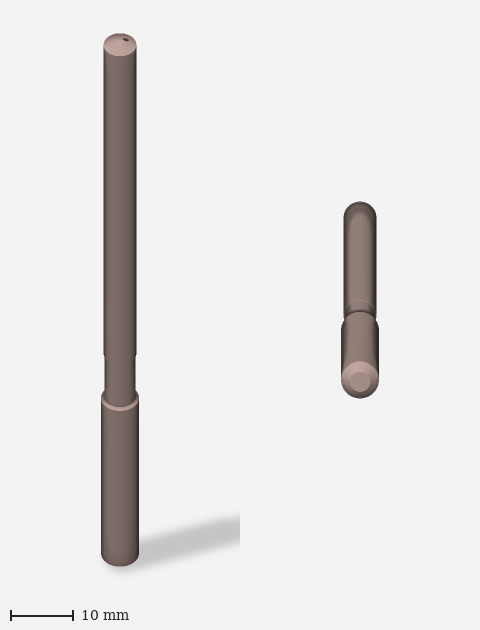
import cadquery as cq
import math

total_length = 116.0
shank_diameter = 6.0
shank_length = 36.2
shank_chamfer = 1.4
shoulder_height = 0.3
neck_diameter = 5.0
neck_end = 46.0
cutter_diameter = 5.2
point_angle = 140.0

tip_hole_diameter = 0.9
tip_hole_offset = 1.2
tip_hole_depth = 1.2

shank_radius = shank_diameter / 2
neck_radius = neck_diameter / 2
cutter_radius = cutter_diameter / 2
point_slope = 1 / math.tan(math.radians(point_angle / 2))
point_height = cutter_radius * point_slope


def turned_body(outline):
    """Revolve a closed (radius, height) outline around Z."""
    return cq.Workplane("XZ").polyline(outline).close().revolve(360, (0, 0), (0, 1))


def make_holder():
    """Chamfered shank with a conical shoulder leading to a slimmer neck."""
    return turned_body([
        (0, 0),
        (shank_radius - shank_chamfer, 0),
        (shank_radius, shank_chamfer),
        (shank_radius, shank_length),
        (neck_radius, shank_length + shoulder_height),
        (neck_radius, neck_end),
        (0, neck_end),
    ])


def make_tip_hole():
    """Cylinder reaching from above the tip to the hole depth below the cone surface."""
    surface_height = total_length - tip_hole_offset * point_slope
    floor_height = surface_height - tip_hole_depth
    return (
        cq.Workplane("XY", origin=(0, tip_hole_offset, floor_height))
        .circle(tip_hole_diameter / 2)
        .extrude(total_length - floor_height)
    )


def make_cutter():
    """Round cutting section seated on the neck, with a conical point and its hole."""
    body = turned_body([
        (0, neck_end),
        (cutter_radius, neck_end),
        (cutter_radius, total_length - point_height),
        (0, total_length),
    ])
    return body.cut(make_tip_hole())


holder = make_holder()
cutter = make_cutter()
result = cq.Compound.makeCompound([holder.val(), cutter.val()])